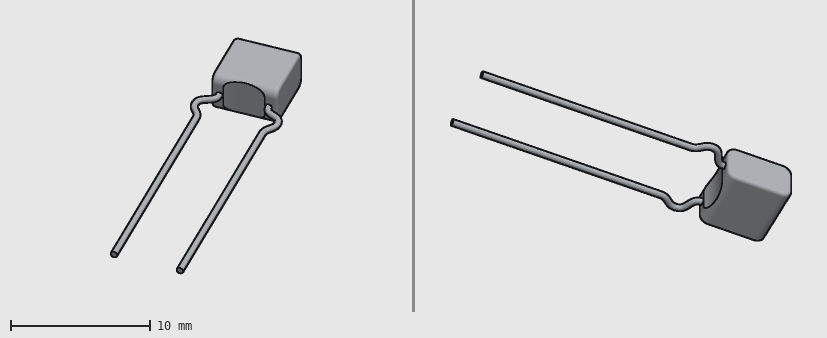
import cadquery as cq

HOUSING_WIDTH = 5.1
HOUSING_LENGTH = 5.12
HOUSING_HEIGHT = 3.2
LONG_EDGE_RADIUS = 0.76
END_EDGE_RADIUS = 0.3

RECESS_WIDTH = 3.18
RECESS_DEPTH = 0.3

TOTAL_LENGTH = 24.63
TOTAL_WIDTH = 6.87
WIRE_DIAMETER = 0.52
LEAD_PITCH = 5.07
UPPER_BEND_LENGTH = 1.53
LOWER_BEND_LENGTH = 1.45
HOUSING_END_X = 1.9

WIRE_RADIUS = WIRE_DIAMETER / 2
TIP_Y = HOUSING_LENGTH - TOTAL_LENGTH
BULGE_Y = -UPPER_BEND_LENGTH
STRAIGHT_END_Y = BULGE_Y - LOWER_BEND_LENGTH
BULGE_X = TOTAL_WIDTH / 2 - WIRE_RADIUS


def make_housing_block():
    """Block rounded along X, then around the outline of both X end faces."""
    block = cq.Workplane("XY").box(HOUSING_WIDTH, HOUSING_LENGTH, HOUSING_HEIGHT)
    block = block.translate((0, HOUSING_LENGTH / 2, 0))
    block = block.edges("|X").fillet(LONG_EDGE_RADIUS)
    return block.faces("<X or >X").edges().fillet(END_EDGE_RADIUS)


def make_recess():
    """Circular-segment cutter running through the full housing height."""
    half_width = RECESS_WIDTH / 2
    return (
        cq.Workplane("XY")
        .moveTo(-half_width, 0)
        .threePointArc((0, RECESS_DEPTH), (half_width, 0))
        .close()
        .extrude(HOUSING_HEIGHT / 2, both=True)
    )


def make_lead(side):
    """Wire on the given side (-1 or +1): straight leg, outward bulge, end flush on the housing."""
    leg_x = side * LEAD_PITCH / 2
    along_y = (0, 1)
    path = (
        cq.Workplane("XY")
        .moveTo(leg_x, TIP_Y)
        .lineTo(leg_x, STRAIGHT_END_Y)
        .spline([(side * BULGE_X, BULGE_Y)], tangents=[along_y, along_y], includeCurrent=True)
        .spline([(side * HOUSING_END_X, 0)], tangents=[along_y, along_y], includeCurrent=True)
    )
    tip_plane = cq.Workplane("XZ", origin=(leg_x, TIP_Y, 0))
    return tip_plane.circle(WIRE_RADIUS).sweep(path)


housing = make_housing_block().cut(make_recess())
leads = [make_lead(side) for side in (-1, 1)]

result = cq.Compound.makeCompound([housing.val(), *[lead.val() for lead in leads]])